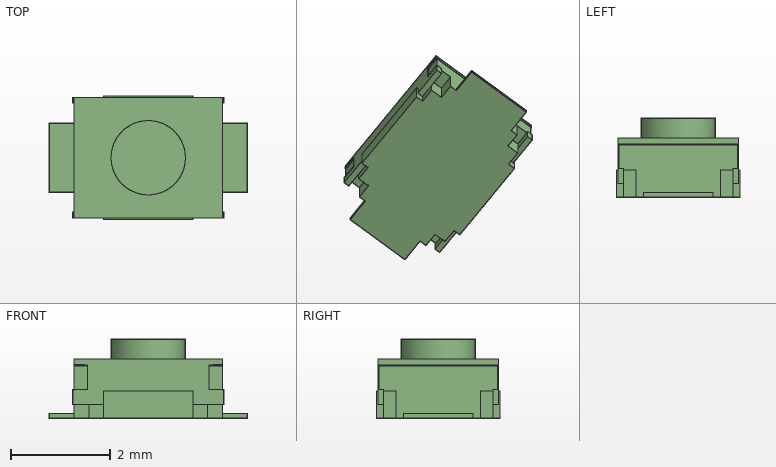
import cadquery as cq

overall_length = 4.0
overall_width = 2.5
overall_height = 1.6

body_length = 3.0
body_width = 2.4
body_top = 1.06
neck_length = 2.6

corner_cut_top = 0.555
corner_cut_y = 0.85
foot_length = 2.4

sheet = 0.12
cover_top = 1.2
cover_width = 2.44
cover_underside = cover_top - sheet
cover_inner_width = cover_width - 2 * sheet
wall_bottom = 0.275
wall_length = 2.45
ear_length = 3.05
ear_top = 0.58

skirt_length = 1.8
skirt_top = 0.555

lead_width = 1.4
lead_thickness = 0.1
button_diameter = 1.5


def block(length, width, bottom, top):
    """Box centred on the Z axis, spanning the heights bottom to top."""
    return cq.Workplane("XY").workplane(offset=bottom).rect(length, width).extrude(top - bottom)


def make_body():
    """Stepped body: full upper block over a cross-shaped foot, with a neck on top."""
    upper = block(body_length, body_width, corner_cut_top, body_top)
    ends = block(body_length, 2 * corner_cut_y, 0, corner_cut_top)
    foot = block(foot_length, cover_inner_width, 0, corner_cut_top)
    neck = block(neck_length, cover_inner_width, body_top, cover_underside)
    return upper.union(ends).union(foot).union(neck)


def make_cover():
    """Top plate with a side wall down each long side, widened at the bottom into ears."""
    plate = block(body_length, cover_width, cover_underside, cover_top)
    walls = block(wall_length, cover_width, wall_bottom, cover_underside)
    ears = block(ear_length, cover_width, wall_bottom, ear_top)
    interior = block(ear_length, cover_inner_width, wall_bottom, cover_underside)
    return plate.union(walls.union(ears).cut(interior))


def make_skirts():
    """Pads standing proud of both side walls, joined through the body."""
    return block(skirt_length, overall_width, 0, skirt_top)


def make_leads():
    """Flat terminals protruding from both ends, joined through the body."""
    return block(overall_length, lead_width, 0, lead_thickness)


def make_button():
    """Round push button standing on the cover plate."""
    height = overall_height - cover_top
    return cq.Workplane("XY").workplane(offset=cover_top).circle(button_diameter / 2).extrude(height)


result = make_body()
for piece in (make_cover(), make_skirts(), make_leads(), make_button()):
    result = result.union(piece)